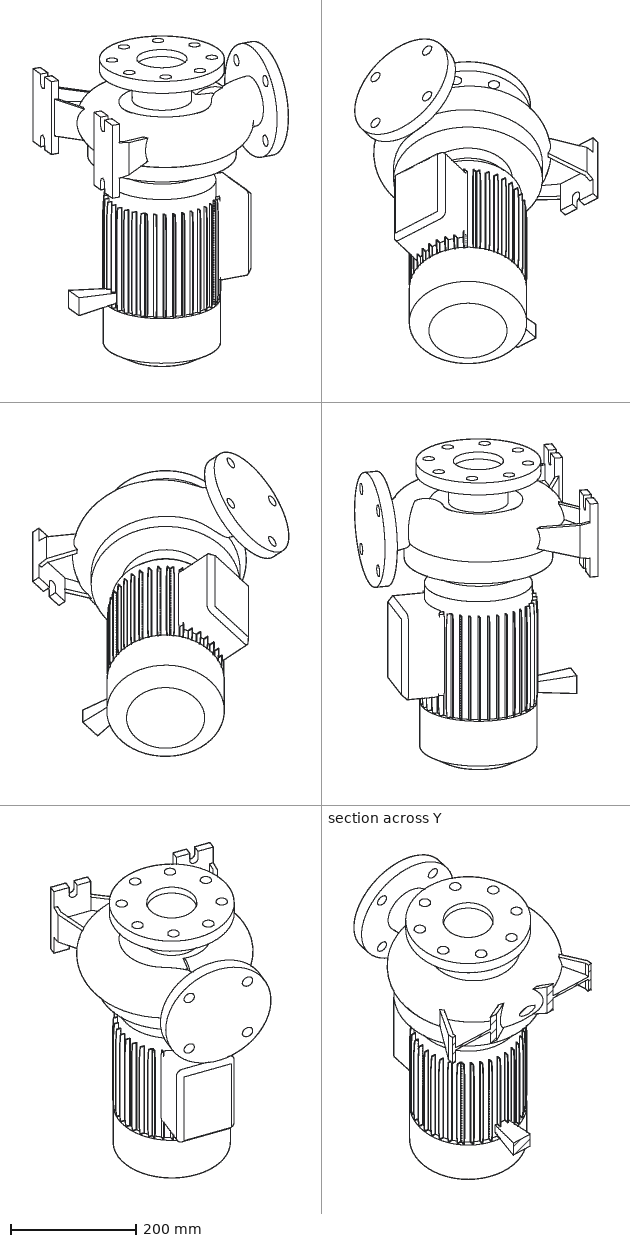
import cadquery as cq
import math


tube_radius = 40.5
volute_right = 153.0
volute_left = 130.5
volute_path = (volute_right + volute_left) / 2 - tube_radius
volute_center_x = (volute_right - volute_left) / 2
tongue_path = 86.0
tongue_center_x = volute_center_x - volute_path + tongue_path
tongue_sweep = 100.0
core_half_height = 30.0

suction_face_z = 100.0
suction_flange_radius = 100.0
flange_thickness = 20.5
suction_pipe_radius = 47.7
suction_bore_radius = 40.0
suction_bore_depth = 12.0
suction_bolt_circle_radius = 80.0
suction_bolt_count = 8
bolt_hole_radius = 9.0

discharge_face_y = 180.0
discharge_flange_radius = 92.5
discharge_bolt_circle_radius = 72.5
discharge_bolt_count = 4

outlet_bend = (
    discharge_face_y**2 + volute_center_x**2 - volute_path**2
) / (2 * (volute_center_x + volute_path))
outlet_angle = math.degrees(math.asin(discharge_face_y / (outlet_bend + volute_path)))

back_plate_radius = 119.0
back_plate_bottom = -65.0
neck_radius = 71.0
neck_bottom = -87.5
shoulder_bottom = -108.0
frame_radius = 86.5
fins_top = -132.7
fins_bottom = -309.5
cover_radius = 94.0
cover_bottom = -386.0
motor_end_radius = 62.5
motor_end = -404.0

fin_thickness = 1.5
fin_pitch_angle = 10.0
fins_per_side = 10
fin_height = 8.7
fin_end_height = 7.2
fin_top_taper = 25.0
fin_bottom_taper = 15.0

box_half_width = 50.6
box_back_y = 138.8
box_bottom = -280.0
box_fillet = 10.0
box_chamfer = 9.0

leg_end_y = -158.0
leg_root_y = -80.0
leg_z = -291.3
leg_end_width = 37.2
leg_end_height = 30.8
leg_taper = 0.19

foot_face_y = -160.0
foot_thickness = 13.0
foot_outer_x = 140.0
foot_width = 65.0
foot_height = 125.0
slot_spacing_x = 212.0
slot_spacing_z = 95.0
slot_radius = 7.0
rib_thickness = 6.5
rib_straight = 16.5
outer_rib_angle = 64.0
inner_rib_angle = 29.5
outer_rib_length = 85.0
inner_rib_length = 65.0
rib_half_height = 30.5
rib_height_slope = 0.168


def cylinder(radius, bottom, top):
    return cq.Workplane("XY").workplane(offset=bottom).circle(radius).extrude(top - bottom)


def bent_tube(center, bend_radius, start_angle, sweep):
    """Round tube bent about a vertical axis, swept counter-clockwise from start_angle."""
    tube = (
        cq.Workplane("XZ")
        .center(bend_radius, 0)
        .circle(tube_radius)
        .revolve(sweep, (-bend_radius, 0, 0), (-bend_radius, 1, 0))
    )
    return tube.rotate((0, 0, 0), (0, 0, 1), start_angle).translate((center[0], center[1], 0))


def on_arc(center_x, radius, angle):
    turn = math.radians(angle)
    return (center_x + radius * math.cos(turn), radius * math.sin(turn))


def make_volute():
    main = bent_tube((volute_center_x, 0), volute_path, -180, 180 + outlet_angle)
    tongue = bent_tube((tongue_center_x, 0), tongue_path, 180 - tongue_sweep, tongue_sweep)
    outlet = bent_tube((outlet_bend, discharge_face_y), outlet_bend, 180, outlet_angle)
    core = (
        cq.Workplane("XY")
        .workplane(offset=-core_half_height)
        .moveTo(*on_arc(volute_center_x, volute_path, 180))
        .threePointArc(
            on_arc(volute_center_x, volute_path, -90),
            on_arc(volute_center_x, volute_path, outlet_angle),
        )
        .lineTo(*on_arc(tongue_center_x, tongue_path, 180 - tongue_sweep))
        .threePointArc(
            on_arc(tongue_center_x, tongue_path, 180 - tongue_sweep / 2),
            on_arc(tongue_center_x, tongue_path, 180),
        )
        .close()
        .extrude(2 * core_half_height)
    )
    return main.union(tongue).union(outlet).union(core)


def make_suction():
    flange_bottom = suction_face_z - flange_thickness
    pipe = cylinder(suction_pipe_radius, 0, flange_bottom)
    flange = cylinder(suction_flange_radius, flange_bottom, suction_face_z)
    holes = (
        cq.Workplane("XY")
        .workplane(offset=flange_bottom)
        .polarArray(suction_bolt_circle_radius, 180 / suction_bolt_count, 360, suction_bolt_count)
        .circle(bolt_hole_radius)
        .extrude(flange_thickness)
    )
    bore = cylinder(suction_bore_radius, suction_face_z - suction_bore_depth, suction_face_z)
    return pipe.union(flange.cut(holes)).cut(bore)


def make_discharge_flange():
    plane = cq.Workplane("XZ").workplane(offset=-discharge_face_y)
    flange = plane.circle(discharge_flange_radius).extrude(flange_thickness)
    holes = (
        plane.polarArray(
            discharge_bolt_circle_radius, 180 / discharge_bolt_count, 360, discharge_bolt_count
        )
        .circle(bolt_hole_radius)
        .extrude(flange_thickness)
    )
    return flange.cut(holes)


def make_motor_body():
    profile = [
        (0, 0),
        (back_plate_radius, 0),
        (back_plate_radius, back_plate_bottom),
        (neck_radius, back_plate_bottom),
        (neck_radius, neck_bottom),
        (frame_radius, shoulder_bottom),
        (frame_radius, fins_bottom),
        (cover_radius, fins_bottom),
        (cover_radius, cover_bottom),
        (motor_end_radius, motor_end),
        (0, motor_end),
    ]
    return cq.Workplane("XZ").polyline(profile).close().revolve(360, (0, 0, 0), (0, 1, 0))


def make_fins():
    """Plates parallel to X and to Y, each standing equally proud of the frame and lower at its ends."""
    first_angle = -(fins_per_side - 1) / 2 * fin_pitch_angle
    plates = cq.Workplane("XY")
    for index in range(fins_per_side):
        angle = math.radians(first_angle + index * fin_pitch_angle)
        offset = frame_radius * math.sin(angle)
        frame_reach = frame_radius * math.cos(angle)
        reach = frame_reach + fin_height
        end_reach = frame_reach + fin_end_height
        plate = (
            cq.Workplane("XZ", origin=(0, offset, 0))
            .polyline([
                (end_reach, fins_top),
                (reach, fins_top - fin_top_taper),
                (reach, fins_bottom + fin_bottom_taper),
                (end_reach, fins_bottom),
                (-end_reach, fins_bottom),
                (-reach, fins_bottom + fin_bottom_taper),
                (-reach, fins_top - fin_top_taper),
                (-end_reach, fins_top),
            ])
            .close()
            .extrude(fin_thickness / 2, both=True)
        )
        plates = plates.add(plate).add(plate.rotate((0, 0, 0), (0, 0, 1), 90))
    return plates.combine()


def make_terminal_box():
    box = cq.Workplane("XY").box(
        2 * box_half_width, box_back_y, fins_top - box_bottom, centered=(True, False, True)
    )
    box = box.edges("|Y").fillet(box_fillet).faces(">Y").chamfer(box_chamfer)
    return box.translate((0, 0, (fins_top + box_bottom) / 2))


def make_leg():
    length = leg_root_y - leg_end_y
    loss = leg_taper * length
    return (
        cq.Workplane("XZ", origin=(0, leg_end_y, leg_z))
        .rect(leg_end_width, leg_end_height)
        .workplane(offset=-length)
        .rect(leg_end_width - loss, leg_end_height - loss)
        .loft(ruled=True)
    )


def step_from(point, length, angle):
    turn = math.radians(angle)
    return (point[0] + length * math.cos(turn), point[1] + length * math.sin(turn))


def make_foot_plate():
    plate = (
        cq.Workplane("XZ", origin=(0, foot_face_y, 0))
        .center(foot_outer_x - foot_width / 2, 0)
        .rect(foot_width, foot_height)
        .extrude(-foot_thickness)
    )
    for side in (1, -1):
        slot = (
            cq.Workplane("XZ", origin=(slot_spacing_x / 2, foot_face_y, side * slot_spacing_z / 2))
            .circle(slot_radius)
            .extrude(-foot_thickness)
        )
        slot_mouth = (
            cq.Workplane("XZ", origin=(slot_spacing_x / 2, foot_face_y, side * foot_height / 2))
            .rect(2 * slot_radius, foot_height - slot_spacing_z)
            .extrude(-foot_thickness)
        )
        plate = plate.cut(slot).cut(slot_mouth)
    return plate


def make_foot_ribs():
    """Two splayed ribs joined by a flat web; all their tops lie on a wedge narrowing inwards."""
    back_y = foot_face_y + foot_thickness
    inner_x = foot_outer_x - foot_width
    lean = math.radians(outer_rib_angle)
    outer_foot = (foot_outer_x, back_y)
    outer_bend = (foot_outer_x, back_y + rib_straight)
    outer_tip = step_from(outer_bend, outer_rib_length, 180 - outer_rib_angle)
    inset_tip = step_from(outer_tip, rib_thickness, 270 - outer_rib_angle)
    inset_x = foot_outer_x - rib_thickness
    inset_bend = (inset_x, outer_bend[1] - rib_thickness * (1 - math.cos(lean)) / math.sin(lean))
    inset_foot = (inset_x, back_y)
    outer_rib = [outer_foot, outer_bend, outer_tip, inset_tip, inset_bend, inset_foot]

    inner_top = (inner_x, back_y)
    inner_top_tip = step_from(inner_top, inner_rib_length, 180 - inner_rib_angle)
    inner_bottom_tip = step_from(inner_top_tip, rib_thickness, 270 - inner_rib_angle)
    inner_drop = rib_thickness / math.cos(math.radians(inner_rib_angle))
    inner_rib = [inner_top, inner_top_tip, inner_bottom_tip, (inner_x, back_y - inner_drop)]

    web = [outer_foot, outer_bend, outer_tip, inner_top_tip, inner_top]

    def slab(outline, height):
        return cq.Workplane("XY").polyline(outline).close().extrude(height / 2, both=True)

    reach = foot_thickness + outer_rib_length + rib_straight
    half_front = rib_half_height + rib_height_slope * foot_thickness
    half_rear = half_front - rib_height_slope * reach
    wedge = (
        cq.Workplane("YZ")
        .polyline([
            (foot_face_y, -half_front),
            (foot_face_y, half_front),
            (foot_face_y + reach, half_rear),
            (foot_face_y + reach, -half_rear),
        ])
        .close()
        .extrude(foot_outer_x)
    )
    ribs = slab(outer_rib, foot_height).union(slab(inner_rib, foot_height)).intersect(wedge)
    return ribs.union(slab(web, rib_thickness))


def make_feet():
    foot = make_foot_plate().union(make_foot_ribs())
    return foot.union(foot.mirror("YZ"))


result = (
    make_motor_body()
    .union(make_fins())
    .union(make_terminal_box())
    .union(make_leg())
    .union(make_feet())
    .union(make_volute())
    .union(make_suction())
    .union(make_discharge_flange())
)